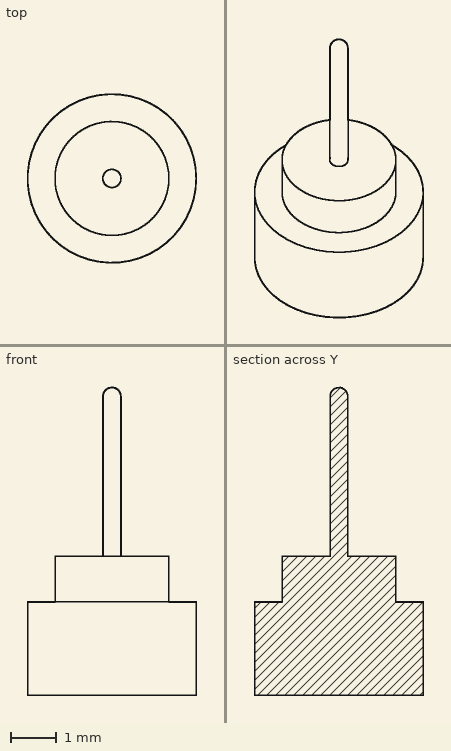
import cadquery as cq

total_height = 6.75
base_diameter = 3.7
base_height = 2.05

collar_diameter = 2.5
collar_height = 1.0

pin_diameter = 0.4
pin_radius = pin_diameter / 2
collar_top = base_height + collar_height
pin_straight_length = total_height - collar_top - pin_radius

body = (
    cq.Workplane("XY")
    .circle(base_diameter / 2)
    .extrude(base_height)
    .faces(">Z")
    .workplane()
    .circle(collar_diameter / 2)
    .extrude(collar_height)
    .faces(">Z")
    .workplane()
    .circle(pin_radius)
    .extrude(pin_straight_length)
)

tip = cq.Workplane("XY").sphere(pin_radius).translate((0, 0, total_height - pin_radius))

result = body.union(tip)